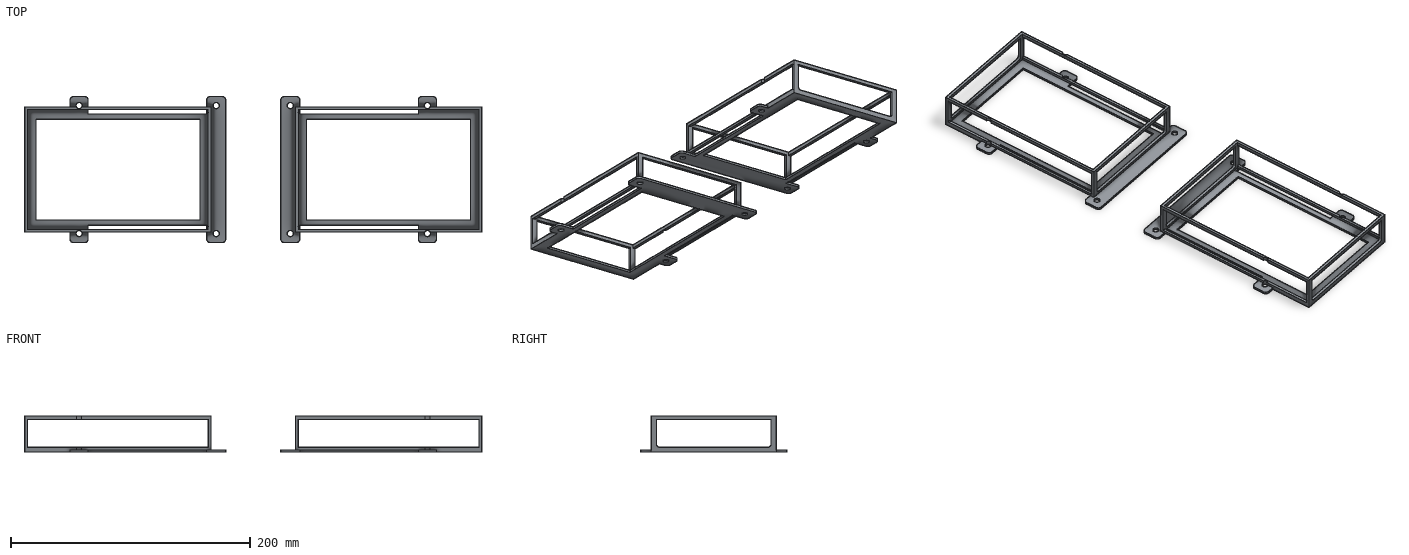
import cadquery as cq

overall_length = 382.0
tray_length = 168.0
overall_width = 122.2

box_length = 156.0
box_width = 104.5
box_height = 30.0
end_wall = 2.5
side_wall = 2.3
top_rail = 3.0
bottom_rail = 4.2
window_radius = 2.3
corner_post = 4.5

plate_thickness = 2.0
floor_border_x = 9.5
floor_border_y = 10.5
relief_depth = 5.7
strip_width = 16.0
tab_width = 15.3
tab_offset = 38.0
corner_radius = 3.0

hole_diameter = 5.0
hole_pitch_y = 107.0

outer_end = -overall_length / 2
inner_end = outer_end + tray_length
tab_start = outer_end + tab_offset
tab_end = tab_start + tab_width
strip_start = inner_end - strip_width
tab_hole_x = tab_start + tab_width / 2
strip_hole_x = inner_end - strip_width / 2


def block(x_min, x_max, width, z_min, z_max):
    """Box between two X and two Z positions, centred on Y."""
    return (
        cq.Workplane("XY", origin=((x_min + x_max) / 2, 0, z_min))
        .box(x_max - x_min, width, z_max - z_min, centered=(True, True, False))
    )


def open_box():
    """Box with open top, floor opening and a window in each of its four walls."""
    box_end = outer_end + box_length
    window_top = box_height - top_rail
    shell = block(outer_end, box_end, box_width, 0, box_height)
    interior = block(
        outer_end + end_wall, box_end - end_wall, box_width - 2 * side_wall, plate_thickness, box_height
    )
    floor_opening = block(
        outer_end + floor_border_x, box_end - floor_border_x, box_width - 2 * floor_border_y, 0, box_height
    )
    side_windows = block(outer_end + end_wall, box_end - end_wall, box_width, bottom_rail, window_top)
    end_windows = block(outer_end, box_end, box_width - 2 * corner_post, bottom_rail, window_top)
    end_windows = end_windows.edges("|X and <Z").fillet(window_radius)
    return shell.cut(interior).cut(floor_opening).cut(side_windows).cut(end_windows)


def floor_reliefs():
    """Notches under the side rails, running from the tab to the mounting strip."""
    full = block(tab_end, strip_start, box_width, 0, plate_thickness)
    return full.cut(block(tab_end, strip_start, box_width - 2 * relief_depth, 0, plate_thickness))


def mounting_plates():
    """Cross strip at the inner end and a pair of side tabs, all with rounded corners."""
    strip = block(strip_start, inner_end, overall_width, 0, plate_thickness).edges("|Z").fillet(corner_radius)
    tabs = block(tab_start, tab_end, overall_width, 0, plate_thickness).edges("|Z").fillet(corner_radius)
    tabs = tabs.cut(block(tab_start, tab_end, box_width - 2 * side_wall, 0, plate_thickness))
    return strip.union(tabs)


def screw_holes():
    """Vertical holes; those in the tabs also graze the outside of the side rails."""
    centers = [(x, side * hole_pitch_y / 2) for x in (tab_hole_x, strip_hole_x) for side in (-1, 1)]
    return cq.Workplane("XY").pushPoints(centers).circle(hole_diameter / 2).extrude(box_height)


def tray():
    """Complete tray on the -X side."""
    return open_box().cut(floor_reliefs()).union(mounting_plates()).cut(screw_holes())


left_tray = tray()
right_tray = left_tray.mirror("YZ")

result = cq.Compound.makeCompound([left_tray.val(), right_tray.val()])